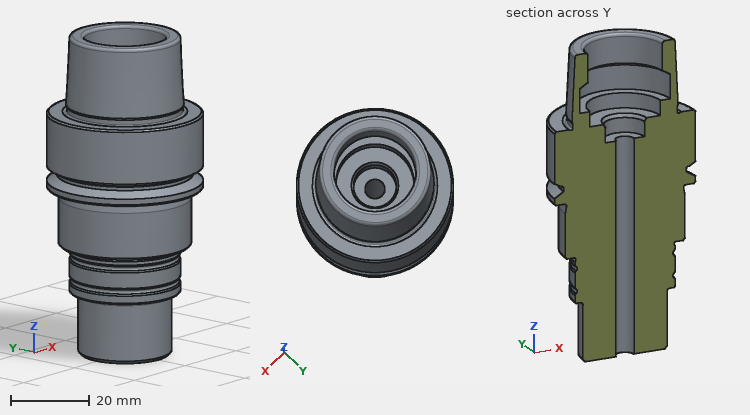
import cadquery as cq
import math

BODY_D = 40.0
V_GROOVE_D = 34.8
SHANK_D = 34.0
SHANK_RELIEF_D = 33.3
SEAL_D = 28.5
SEAL_GROOVE_EDGE_D = 27.9
NOSE_D = 24.0
NOSE_TIP_D = 22.5
TAPER_TOP_D = 28.5
TAPER_BASE_D = 30.15
NECK_D = 29.65
FACE_RECESS_D = 31.9
BORE_D = 21.0
CLAMP_GROOVE_D = 25.5
INNER_BORE_D = 19.9
SEAT_TOP_D = 12.0
SEAT_D = 10.9
THROUGH_D = 5.0

TOTAL_H = 83.5
TAPER_BASE_Z = 65.5
FLANGE_TOP_Z = 63.55
V_GROOVE_TOP_Z = 49.4
V_GROOVE_FLOOR_TOP_Z = 48.0
V_GROOVE_FLOOR_BOTTOM_Z = 47.1
V_GROOVE_BOTTOM_Z = 45.5
FLANGE_BOTTOM_Z = 43.5
RELIEF_Z = 42.7
SHANK_TOP_Z = 41.1
SHANK_BOTTOM_Z = 28.55
SEAL_TOP_Z = 27.55
SEAL_GROOVE_CENTERS = (25.6, 19.5)
SEAL_BOTTOM_Z = 16.2
NOSE_TOP_Z = 15.45
CLAMP_GROOVE_TOP_Z = 75.4
CLAMP_GROOVE_BOTTOM_Z = 67.55
INNER_FLOOR_Z = 63.5
SEAT_CHAMFER_H = 1.0
SEAT_FLOOR_Z = 58.45

FLANGE_CHAMFER = 0.5
SHANK_CHAMFER = 0.6
SEAL_CHAMFER = 0.4
NOSE_CHAMFER_H = 0.8
RIM_ROUND = 0.8
RIM_DROP = RIM_ROUND * (1 - math.sqrt(0.5))
NECK_STEP_H = 0.5
NECK_FILLET = 0.5
FACE_RECESS_DEPTH = 0.25
V_GROOVE_ROOT = 0.75
RELIEF_FILLET = 0.7
NOSE_FILLET = 0.7
SEAL_RELIEF_SAG = 0.25
SEAL_GROOVE_W = 2.0
SEAL_GROOVE_FLOOR_W = 1.1
SEAL_GROOVE_SAG = 0.3
CLAMP_GROOVE_ANGLE = math.radians(30)


def concave_fillet(profile, start, corner, end):
    """Line to start, then a shallow arc to end that hugs the corner point."""
    middle = tuple((a + 2 * c + b) / 4 for a, c, b in zip(start, corner, end))
    return profile.lineTo(*start).threePointArc(middle, end)


def seal_groove(profile, center_z):
    """Ring groove with bevelled lips and a round floor, followed downwards."""
    edge_r = SEAL_GROOVE_EDGE_D / 2
    half_floor = SEAL_GROOVE_FLOOR_W / 2
    return (
        profile.lineTo(SEAL_D / 2, center_z + SEAL_GROOVE_W / 2)
        .lineTo(edge_r, center_z + half_floor)
        .threePointArc((edge_r - SEAL_GROOVE_SAG, center_z), (edge_r, center_z - half_floor))
        .lineTo(SEAL_D / 2, center_z - SEAL_GROOVE_W / 2)
    )


def taper_and_flange(profile):
    """Hollow taper, its neck, and the flange with the V groove, followed downwards."""
    body_r = BODY_D / 2
    neck_r = NECK_D / 2
    recess_z = FLANGE_TOP_Z - FACE_RECESS_DEPTH
    profile = (
        profile.lineTo(TAPER_TOP_D / 2 - RIM_ROUND, TOTAL_H)
        .threePointArc(
            (TAPER_TOP_D / 2 - RIM_DROP, TOTAL_H - RIM_DROP),
            (TAPER_TOP_D / 2, TOTAL_H - RIM_ROUND),
        )
        .lineTo(TAPER_BASE_D / 2, TAPER_BASE_Z)
        .lineTo(neck_r, TAPER_BASE_Z - NECK_STEP_H)
    )
    profile = concave_fillet(
        profile, (neck_r, recess_z + NECK_FILLET), (neck_r, recess_z), (neck_r + NECK_FILLET, recess_z)
    )
    profile = (
        profile.lineTo(FACE_RECESS_D / 2, FLANGE_TOP_Z)
        .lineTo(body_r - FLANGE_CHAMFER, FLANGE_TOP_Z)
        .lineTo(body_r, FLANGE_TOP_Z - FLANGE_CHAMFER)
        .lineTo(body_r, V_GROOVE_TOP_Z)
    )
    groove_r = V_GROOVE_D / 2
    root_z = V_GROOVE_FLOOR_TOP_Z + V_GROOVE_ROOT / 2
    profile = concave_fillet(
        profile, (groove_r + V_GROOVE_ROOT, root_z), (groove_r, root_z), (groove_r, V_GROOVE_FLOOR_TOP_Z)
    )
    return (
        profile.lineTo(groove_r, V_GROOVE_FLOOR_BOTTOM_Z)
        .lineTo(body_r, V_GROOVE_BOTTOM_Z)
        .lineTo(body_r, FLANGE_BOTTOM_Z + FLANGE_CHAMFER)
        .lineTo(body_r - FLANGE_CHAMFER, FLANGE_BOTTOM_Z)
    )


def shank_and_nose(profile):
    """Shank, grooved seal section and nose, followed downwards."""
    relief_r = SHANK_RELIEF_D / 2
    shank_r = SHANK_D / 2
    seal_r = SEAL_D / 2
    nose_r = NOSE_D / 2
    profile = concave_fillet(
        profile,
        (relief_r + RELIEF_FILLET / 2, FLANGE_BOTTOM_Z),
        (relief_r, FLANGE_BOTTOM_Z),
        (relief_r, RELIEF_Z),
    )
    profile = (
        profile.lineTo(shank_r, SHANK_TOP_Z)
        .lineTo(shank_r, SHANK_BOTTOM_Z + SHANK_CHAMFER)
        .lineTo(shank_r - SHANK_CHAMFER, SHANK_BOTTOM_Z)
        .lineTo(seal_r, SHANK_BOTTOM_Z)
        .threePointArc((seal_r - SEAL_RELIEF_SAG, (SHANK_BOTTOM_Z + SEAL_TOP_Z) / 2), (seal_r, SEAL_TOP_Z))
    )
    for center_z in SEAL_GROOVE_CENTERS:
        profile = seal_groove(profile, center_z)
    profile = profile.lineTo(seal_r, SEAL_BOTTOM_Z + SEAL_CHAMFER).lineTo(seal_r - SEAL_CHAMFER, SEAL_BOTTOM_Z)
    profile = concave_fillet(
        profile, (nose_r + NOSE_FILLET, SEAL_BOTTOM_Z), (nose_r, SEAL_BOTTOM_Z), (nose_r, NOSE_TOP_Z)
    )
    return profile.lineTo(nose_r, NOSE_CHAMFER_H).lineTo(NOSE_TIP_D / 2, 0)


def bore(profile):
    """Through hole, conical seat, inner bore, clamping groove and rounded mouth, followed upwards."""
    bore_r = BORE_D / 2
    groove_r = CLAMP_GROOVE_D / 2
    groove_slope_h = (groove_r - bore_r) * math.tan(CLAMP_GROOVE_ANGLE)
    return (
        profile.lineTo(THROUGH_D / 2, 0)
        .lineTo(THROUGH_D / 2, SEAT_FLOOR_Z)
        .lineTo(SEAT_D / 2, SEAT_FLOOR_Z)
        .lineTo(SEAT_D / 2, INNER_FLOOR_Z - SEAT_CHAMFER_H)
        .lineTo(SEAT_TOP_D / 2, INNER_FLOOR_Z)
        .lineTo(INNER_BORE_D / 2, INNER_FLOOR_Z)
        .lineTo(INNER_BORE_D / 2, CLAMP_GROOVE_BOTTOM_Z)
        .lineTo(groove_r, CLAMP_GROOVE_BOTTOM_Z)
        .lineTo(groove_r, CLAMP_GROOVE_TOP_Z - groove_slope_h)
        .lineTo(bore_r, CLAMP_GROOVE_TOP_Z)
        .lineTo(bore_r, TOTAL_H - RIM_ROUND)
        .threePointArc((bore_r + RIM_DROP, TOTAL_H - RIM_DROP), (bore_r + RIM_ROUND, TOTAL_H))
    )


profile = cq.Workplane("XZ").moveTo(BORE_D / 2 + RIM_ROUND, TOTAL_H)
profile = taper_and_flange(profile)
profile = shank_and_nose(profile)
profile = bore(profile)
result = profile.close().revolve(360, (0, 0, 0), (0, 1, 0))